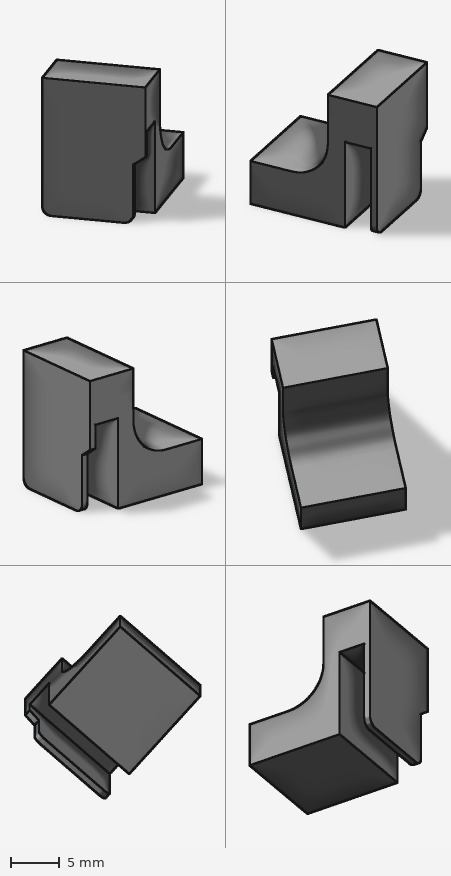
import cadquery as cq

width = 11.0
depth = 14.7
height = 15.0

base_height = height / 3
upper_depth = 5.7
inner_radius = 4.25
flap_thickness = 0.7
slot_width = 3.0
slot_height = 2 * height / 3

flap_relief = 1.29
relief_straight_top = 6.42
relief_slope_top = 7.38
flap_corner_radius = 1.0


def make_body():
    """L-shaped block, front face at Y = 0, with a rounded inner corner."""
    base = cq.Workplane("XY").box(width, depth, base_height, centered=False)
    upright = cq.Workplane("XY").box(width, upper_depth, height, centered=False)
    inner_corner = cq.selectors.NearestToPointSelector((width / 2, upper_depth, base_height))
    return base.union(upright).edges(inner_corner).fillet(inner_radius)


def make_slot():
    """Slot open at the bottom that separates the flap from the body."""
    slot = cq.Workplane("XY").box(width, slot_width, slot_height, centered=False)
    return slot.translate((0, flap_thickness, 0))


def make_flap_relief():
    """Material removed from the +X side of the flap, ending in a slope."""
    flap_side = width - flap_relief
    return (
        cq.Workplane("XZ")
        .moveTo(flap_side, 0)
        .lineTo(width, 0)
        .lineTo(width, relief_slope_top)
        .lineTo(flap_side, relief_straight_top)
        .close()
        .extrude(-flap_thickness)
    )


def round_flap_corners(part):
    """Round both lower corners of the flap."""
    for x in (0, width - flap_relief):
        corner_middle = (x, flap_thickness / 2, 0)
        corner = cq.selectors.NearestToPointSelector(corner_middle)
        part = part.edges("|Y").edges(corner).fillet(flap_corner_radius)
    return part


result = round_flap_corners(make_body().cut(make_slot()).cut(make_flap_relief()))